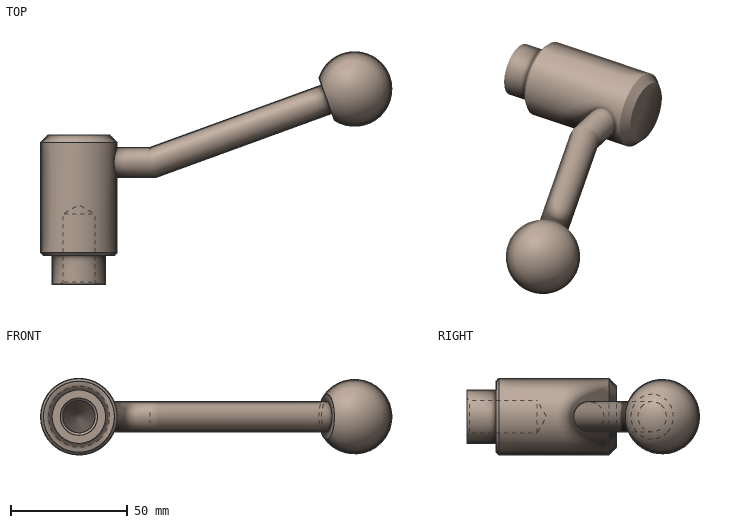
import cadquery as cq
import math

overall_length = 151.3

hub_radius = 16.5
hub_bottom = 12.5
hub_top = 64.5
hub_top_chamfer = 3.3
hub_bottom_chamfer = 1.2
spigot_radius = 11.5

bore_radius = 7.0
bore_mouth_radius = 8.0
bore_depth = 30.3
drill_point_angle = 120.0

arm_radius = 6.5
arm_height = 52.5
bend_x = 31.8
arm_angle = 20.0

ball_radius = 16.0
ball_x = overall_length - hub_radius - ball_radius
ball_y = arm_height + (ball_x - bend_x) * math.tan(math.radians(arm_angle))
ball_flat_radius = 9.7


def make_hub():
    profile = [
        (0, 0),
        (spigot_radius, 0),
        (spigot_radius, hub_bottom),
        (hub_radius - hub_bottom_chamfer, hub_bottom),
        (hub_radius, hub_bottom + hub_bottom_chamfer),
        (hub_radius, hub_top - hub_top_chamfer),
        (hub_radius - hub_top_chamfer, hub_top),
        (0, hub_top),
    ]
    return cq.Workplane("XY").polyline(profile).close().revolve(360, (0, 0), (0, 1))


def make_bore():
    mouth_depth = bore_mouth_radius - bore_radius
    cone_depth = bore_radius / math.tan(math.radians(drill_point_angle / 2))
    profile = [
        (0, 0),
        (bore_mouth_radius, 0),
        (bore_radius, mouth_depth),
        (bore_radius, bore_depth),
        (0, bore_depth + cone_depth),
    ]
    return cq.Workplane("XY").polyline(profile).close().revolve(360, (0, 0), (0, 1))


def make_arm():
    """Join the stub and the rod with a sphere that rounds the outside of the bend."""
    stub = cq.Workplane("YZ").center(arm_height, 0).circle(arm_radius).extrude(bend_x)
    rod_length = (ball_x - bend_x) / math.cos(math.radians(arm_angle))
    rod = (
        cq.Workplane("YZ")
        .circle(arm_radius)
        .extrude(rod_length)
        .rotate((0, 0, 0), (0, 0, 1), arm_angle)
        .translate((bend_x, arm_height, 0))
    )
    joint = cq.Workplane("XY").sphere(arm_radius).translate((bend_x, arm_height, 0))
    return stub.union(joint).union(rod)


def make_ball():
    """Revolve the knob about the arm line and place it at the arm's end."""
    flat_offset = math.sqrt(ball_radius**2 - ball_flat_radius**2)
    profile = (
        cq.Workplane("XY")
        .moveTo(-flat_offset, 0)
        .lineTo(-flat_offset, ball_flat_radius)
        .threePointArc((0, ball_radius), (ball_radius, 0))
        .close()
    )
    knob = profile.revolve(360, (0, 0), (1, 0))
    return knob.rotate((0, 0, 0), (0, 0, 1), arm_angle).translate((ball_x, ball_y, 0))


result = make_hub().union(make_arm()).union(make_ball()).cut(make_bore())